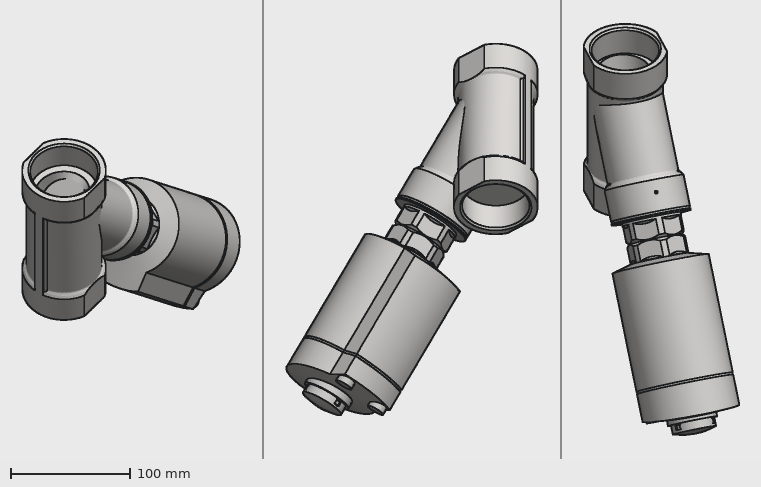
import cadquery as cq
import math

pipe_length = 150.0
end_diameter = 70.3
end_width = 64.5
end_length = 26.3
shoulder_length = 5.0
middle_diameter = 63.5
rib_width = 8.3
rib_fillet = 2.0

socket_diameter = 56.5
socket_depth = 25.7
socket_chamfer = 1.7
port_width = 44.5
port_length = 48.3
port_offset = -2.5
seat_diameter = 42.8

axis_lean = 40.0
axis_height = 32.0

branch_diameter = 60.8
collar_diameter = 67.7
collar_start = 74.3
collar_end = 106.0
vent_diameter = 2.5
vent_position = 90.2
vent_depth = 5.7

hex_across_flats = 46.0
nut_diameter = 50.3
hex_chamfer = 2.5
seam_width = 2.0
seam_depth = 0.43
flange_end = 109.5
first_shank_end = 114.2
nut_joint = 127.7
second_shank_start = 141.5

actuator_diameter = 82.5
lug_width = 60.0
lug_side = 46.0
lug_reach = 52.8
top_cone_angle = 15.0
top_cone_apex = 137.7
housing_end = 250.0
top_cone_slope = math.tan(math.radians(top_cone_angle))
housing_start = top_cone_apex + nut_diameter / 2 * top_cone_slope

ball_radius = 331.3
ball_offset = 32.3
ball_crown = 280.7

plug_seat_diameter = 42.3
plug_seat_end = 283.3
plug_diameter = 37.0
plug_rim_end = 291.0
plug_dome_height = 3.0
notch_count = 3
notch_width = 5.0
notch_depth = 1.7
notch_start = 284.5
notch_end = 288.5
foot_diameter = 15.0
foot_spacing = 42.3
foot_distance = 40.5
foot_end = 276.5

lean = math.radians(axis_lean)
axis_direction = cq.Vector(0, math.sin(lean), -math.cos(lean))


def axis_plane(distance):
    """Plane across the branch axis; its y points away from the actuator's lug."""
    crossing = cq.Vector(0, 0, axis_height)
    return cq.Plane(
        origin=crossing + axis_direction * distance,
        xDir=(-1, 0, 0),
        normal=axis_direction,
    )


def rod(diameter, start, end):
    return cq.Workplane(axis_plane(start)).circle(diameter / 2).extrude(end - start)


def shoulder(plane, big_radius, small_radius):
    """Ring standing on a plane: a cone and then a fillet lead from the big radius to the small one."""
    step = big_radius - small_radius
    cone_radius = small_radius + step / 2
    profile = (
        cq.Workplane("XZ")
        .lineTo(big_radius, 0)
        .lineTo(cone_radius, shoulder_length / 2)
        .spline([(small_radius, shoulder_length)], tangents=[(-1, 1), (0, 1)], includeCurrent=True)
        .lineTo(0, shoulder_length)
        .close()
    )
    ring = profile.revolve(360, (0, 0), (0, 1)).val()
    return cq.Workplane(ring.moved(cq.Location(plane)))


def pipe_end():
    """Upper end of the pipe with its two flats and the shoulder below."""
    bottom = pipe_length / 2 - end_length
    ring = cq.Workplane("XY").workplane(offset=bottom).circle(end_diameter / 2).extrude(end_length)
    below = cq.Plane(origin=(0, 0, bottom), xDir=(1, 0, 0), normal=(0, 0, -1))
    taper = shoulder(below, end_diameter / 2, middle_diameter / 2)
    flats = cq.Workplane("XY").box(end_width, 2 * end_diameter, 2 * pipe_length)
    return ring.union(taper).intersect(flats)


def rib():
    """Rib along the -Y side of the pipe, flush with the two ends."""
    height = pipe_length - 2 * end_length
    foot_y = -math.sqrt((middle_diameter / 2) ** 2 - (rib_width / 2 + rib_fillet) ** 2)
    side = rib_width / 2
    blank = (
        cq.Workplane("XY")
        .workplane(offset=-height / 2)
        .moveTo(-side - rib_fillet, 0)
        .lineTo(-side - rib_fillet, foot_y)
        .radiusArc((-side, foot_y - rib_fillet), -rib_fillet)
        .lineTo(-side, -end_diameter)
        .lineTo(side, -end_diameter)
        .lineTo(side, foot_y - rib_fillet)
        .radiusArc((side + rib_fillet, foot_y), -rib_fillet)
        .lineTo(side + rib_fillet, 0)
        .close()
        .extrude(height)
    )
    envelope = cq.Workplane("XY").circle(end_diameter / 2).extrude(pipe_length, both=True)
    return blank.intersect(envelope)


def socket():
    """Chamfered socket in the upper end of the pipe."""
    bore = (
        cq.Workplane("XY")
        .workplane(offset=pipe_length / 2 - socket_depth)
        .circle(socket_diameter / 2)
        .extrude(socket_depth)
    )
    mouth = cq.Solid.makeCone(
        socket_diameter / 2,
        socket_diameter / 2 + socket_chamfer,
        socket_chamfer,
        pnt=(0, 0, pipe_length / 2 - socket_chamfer),
    )
    return bore.union(cq.Workplane(mouth))


def port():
    """Passage from the oval in the socket floor to the round seat across the branch axis."""
    oval = cq.Wire.makeEllipse(
        port_length / 2,
        port_width / 2,
        cq.Vector(0, port_offset, pipe_length / 2 - socket_depth),
        cq.Vector(0, 0, 1),
        cq.Vector(0, 1, 0),
    )
    seat = cq.Wire.makeCircle(seat_diameter / 2, cq.Vector(0, 0, axis_height), axis_direction * -1)
    return cq.Workplane(cq.Solid.makeLoft([seat, oval], True))


def branch():
    """Branch pipe and its collar along the leaning axis."""
    tube = rod(branch_diameter, 0, collar_end)
    collar_edge = collar_start + shoulder_length
    collar = rod(collar_diameter, collar_edge, collar_end)
    back = cq.Plane(
        origin=axis_plane(collar_edge).origin,
        xDir=(1, 0, 0),
        normal=axis_direction * -1,
    )
    taper = shoulder(back, collar_diameter / 2, branch_diameter / 2)
    return tube.union(collar).union(taper)


def vent():
    """Small blind hole in the side of the collar that faces up."""
    outward = axis_plane(0).yDir
    start = axis_plane(vent_position).origin + outward * (collar_diameter / 2 - vent_depth)
    return cq.Workplane(cq.Solid.makeCylinder(vent_diameter / 2, 2 * vent_depth, start, outward))


def make_valve_body():
    middle_length = pipe_length - 2 * end_length
    middle = cq.Workplane("XY").circle(middle_diameter / 2).extrude(middle_length / 2, both=True)
    upper_end = pipe_end()
    body = middle.union(upper_end).union(upper_end.mirror("XY")).union(rib()).union(branch())
    upper_socket = socket()
    return body.cut(upper_socket).cut(upper_socket.mirror("XY")).cut(port()).cut(vent())


def hexagon(start, end):
    """Hexagon along the branch axis, two flats facing +X and -X, its corners rounded off."""
    corner_distance = hex_across_flats / math.cos(math.radians(30))
    prism = (
        cq.Workplane(axis_plane(start))
        .transformed(rotate=(0, 0, 30))
        .polygon(6, corner_distance)
        .extrude(end - start)
    )
    return prism.intersect(rod(nut_diameter, start, end))


def chamfered_rod(start, end, chamfered_face):
    """Rod of the nut's diameter, chamfered at the end picked by the selector along the axis."""
    blank = cq.Workplane("XY").circle(nut_diameter / 2).extrude(end - start)
    blank = blank.faces(chamfered_face).chamfer(hex_chamfer)
    return cq.Workplane(blank.val().moved(cq.Location(axis_plane(start))))


def make_collar_nut():
    """Nut that closes the collar: flange with a joint groove, round shank and hexagon."""
    seam = rod(collar_diameter - 2 * seam_depth, collar_end, collar_end + seam_width)
    flange = rod(collar_diameter, collar_end + seam_width, flange_end)
    shank = chamfered_rod(flange_end, first_shank_end, ">Z")
    grip = hexagon(flange_end, nut_joint).intersect(chamfered_rod(flange_end, nut_joint, ">Z"))
    return seam.union(flange).union(shank).union(grip)


def make_actuator_nut():
    """Nut on the actuator: hexagon with a round shank against the housing."""
    shank = chamfered_rod(second_shank_start, housing_start, "<Z")
    grip = hexagon(nut_joint, housing_start).intersect(chamfered_rod(nut_joint, housing_start, "<Z"))
    return grip.union(shank)


def actuator_section(start, end, inset=0.0):
    """Round actuator with the straight-sided, crowned lug on its pipe side."""
    half_width = lug_width / 2 - inset
    lug = (
        cq.Workplane(axis_plane(start))
        .moveTo(-half_width, 0)
        .lineTo(-half_width, inset - lug_side)
        .threePointArc((0, inset - lug_reach), (half_width, inset - lug_side))
        .lineTo(half_width, 0)
        .close()
        .extrude(end - start)
    )
    return rod(actuator_diameter - 2 * inset, start, end).union(lug)


def make_housing():
    """Housing whose end at the nut is a shallow cone, flat under the nut."""
    cone_limit = lug_reach + lug_side
    cone_length = (cone_limit - nut_diameter / 2) * top_cone_slope
    cone = cq.Workplane(
        cq.Solid.makeCone(
            nut_diameter / 2,
            cone_limit,
            cone_length,
            axis_plane(housing_start).origin,
            axis_direction,
        )
    )
    envelope = cone.union(rod(2 * cone_limit, housing_start + cone_length, housing_end))
    return actuator_section(housing_start, housing_end).intersect(envelope)


def plug():
    """Domed round plug on its seat, with notches spaced around the rim."""
    seat = rod(plug_seat_diameter, housing_end + seam_width, plug_seat_end)
    rim = rod(plug_diameter, plug_seat_end, plug_rim_end)
    dome_radius = ((plug_diameter / 2) ** 2 + plug_dome_height**2) / (2 * plug_dome_height)
    dome = (
        cq.Workplane("XZ")
        .lineTo(plug_diameter / 2, 0)
        .radiusArc((0, plug_dome_height), -dome_radius)
        .close()
        .revolve(360, (0, 0), (0, 1))
    )
    dome = cq.Workplane(dome.val().moved(cq.Location(axis_plane(plug_rim_end))))
    body = seat.union(rim).union(dome)
    for index in range(notch_count):
        notch = (
            cq.Workplane(axis_plane(notch_start))
            .transformed(rotate=(0, 0, index * 360 / notch_count))
            .center(0, -plug_diameter / 2)
            .rect(notch_width, 2 * notch_depth)
            .extrude(notch_end - notch_start)
        )
        body = body.cut(notch)
    return body


def make_cap():
    """Cap with the joint groove, the ball-shaped end, the plug and two feet on the lug."""
    cap_edge = housing_end + seam_width
    seam = actuator_section(housing_end, cap_edge, seam_depth)
    ball_centre = axis_plane(ball_crown - ball_radius).toWorldCoords((0, ball_offset, 0))
    ball = cq.Workplane("XY").sphere(ball_radius).translate(ball_centre)
    cap = actuator_section(cap_edge, ball_crown).intersect(ball).union(seam)
    feet = (
        cq.Workplane(axis_plane(cap_edge))
        .pushPoints([(side * foot_spacing / 2, -foot_distance) for side in (-1, 1)])
        .circle(foot_diameter / 2)
        .extrude(foot_end - cap_edge)
    )
    return cap.union(feet).union(plug())


valve_body = make_valve_body()
collar_nut = make_collar_nut()
actuator_nut = make_actuator_nut()
housing = make_housing()
cap = make_cap()

result = cq.Compound.makeCompound(
    [valve_body.val(), collar_nut.val(), actuator_nut.val(), housing.val(), cap.val()]
)